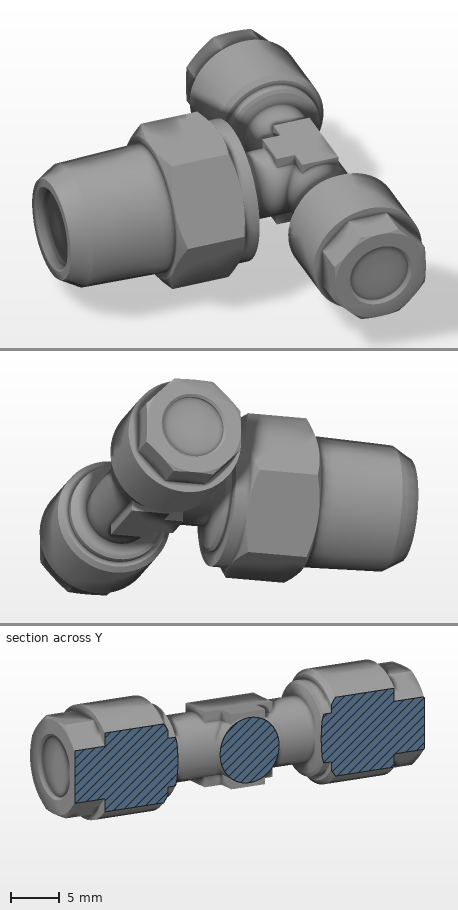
import cadquery as cq
import math


OVERCUT = 1.0

tube_radius = 3.5
pad_half_height = 4.0
pad_half_length = 4.0
pad_half_width = 2.0
stem_half_width = 2.0
stem_reach = 4.0

collar_cone_angle = 15.0
collar_edge_drop = 0.35
run_collar_start = 8.2
run_collar_radius = 5.0
run_collar_edge = 0.2
branch_collar_start = 7.0
branch_collar_radius = 6.0
branch_collar_edge = 0.27

run_half_length = 20.6
nut_start = 9.6
nut_radius = 6.0
nut_chamfer = 0.5
head_sides = 8
head_length = 3.55
head_across_flats = 10.0
run_bore_radius = 3.2
run_bore_chamfer = 0.25
run_bore_depth = 0.5

branch_length = 28.09
flange_start = 8.1
hex_start = 9.6
hex_end = 17.15
hex_sides = 6
hex_across_flats = 15.0
thread_end_radius = 6.5
thread_taper = 1 / 16
thread_tip_length = 2.0
branch_bore_radius = 3.95
branch_bore_chamfer = 0.5
branch_bore_depth = 1.2

bevel_angle = 30.0


def tan_deg(angle):
    return math.tan(math.radians(angle))


def turned(profile):
    """Solid of revolution about Z from (radius, height) points; the axis closes the outline."""
    outline = [(0, profile[0][1])] + profile + [(0, profile[-1][1])]
    return cq.Workplane("XZ").polyline(outline).close().revolve(360, (0, 0), (0, 1))


def toward_plus_x(shape):
    return shape.rotate((0, 0, 0), (0, 1, 0), 90)


def toward_minus_y(shape):
    return shape.rotate((0, 0, 0), (1, 0, 0), 90)


def corner_radius(sides, across_flats):
    return across_flats / 2 / math.cos(math.pi / sides)


def prism(sides, across_flats, start, end):
    """Regular prism along Z with two of its flats facing +Y and -Y."""
    first_corner = math.pi / 2 - math.pi / sides
    radius = corner_radius(sides, across_flats)
    angles = [first_corner + 2 * math.pi * i / sides for i in range(sides)]
    corners = [(radius * math.cos(a), radius * math.sin(a)) for a in angles]
    return cq.Workplane("XY").workplane(offset=start).polyline(corners).close().extrude(end - start)


def beveled_prism(sides, across_flats, start, end, bevel_start):
    """Prism with its corners beveled at the far end, and at the near end if asked."""
    flat_radius = across_flats / 2
    outer = corner_radius(sides, across_flats) + OVERCUT
    bevel_length = (outer - flat_radius) * tan_deg(bevel_angle)
    near = [(outer, start)]
    if bevel_start:
        near = [(flat_radius, start), (outer, start + bevel_length)]
    envelope = turned(near + [(outer, end - bevel_length), (flat_radius, end)])
    return prism(sides, across_flats, start, end).intersect(envelope)


def collar(start, radius, edge, end):
    """Disc that swells from the tube by a shallow cone and a beveled rim."""
    cone_radius = radius - collar_edge_drop
    cone_end = start + (cone_radius - tube_radius) * tan_deg(collar_cone_angle)
    return turned([
        (tube_radius, start),
        (cone_radius, cone_end),
        (radius, cone_end + edge),
        (radius, end),
    ])


def blind_bore(radius, chamfer, depth, face):
    """Cutter for a shallow bore with a chamfered mouth, sunk from the given end face."""
    return turned([
        (radius, face - depth),
        (radius, face - chamfer),
        (radius + chamfer, face),
        (radius + chamfer, face + OVERCUT),
    ])


def tee_body():
    run = toward_plus_x(turned([(tube_radius, -nut_start), (tube_radius, nut_start)]))
    branch = toward_minus_y(turned([(tube_radius, 0), (tube_radius, hex_start)]))
    pad = cq.Workplane("XY").box(2 * pad_half_length, 2 * pad_half_width, 2 * pad_half_height)
    stem = cq.Workplane("XY").box(2 * stem_half_width, stem_reach, 2 * pad_half_height)
    return run.union(branch).union(pad).union(stem.translate((0, -stem_reach / 2, 0)))


def run_end():
    """Collar, round nut and octagonal head on the +X end of the run."""
    head_start = run_half_length - head_length
    nut = turned([
        (nut_radius - nut_chamfer, nut_start),
        (nut_radius, nut_start + nut_chamfer),
        (nut_radius, head_start),
    ])
    head = beveled_prism(head_sides, head_across_flats, head_start, run_half_length, False)
    end = collar(run_collar_start, run_collar_radius, run_collar_edge, head_start).union(nut).union(head)
    end = end.cut(blind_bore(run_bore_radius, run_bore_chamfer, run_bore_depth, run_half_length))
    return toward_plus_x(end)


def branch_end():
    """Collar, flange, hexagon and tapered thread body on the branch."""
    flange = turned([(hex_across_flats / 2, flange_start), (hex_across_flats / 2, hex_start)])
    hexagon = beveled_prism(hex_sides, hex_across_flats, hex_start, hex_end, True)
    tip_start = branch_length - thread_tip_length
    root_radius = thread_end_radius + (tip_start - hex_end) * thread_taper / 2
    tip_radius = thread_end_radius - thread_tip_length * tan_deg(bevel_angle)
    thread = turned([
        (root_radius, hex_end),
        (thread_end_radius, tip_start),
        (tip_radius, branch_length),
    ])
    end = collar(branch_collar_start, branch_collar_radius, branch_collar_edge, hex_start)
    end = end.union(flange).union(hexagon).union(thread)
    end = end.cut(blind_bore(branch_bore_radius, branch_bore_chamfer, branch_bore_depth, branch_length))
    return toward_minus_y(end)


right_end = run_end()
left_end = right_end.mirror("YZ")
result = tee_body().union(right_end).union(left_end).union(branch_end())